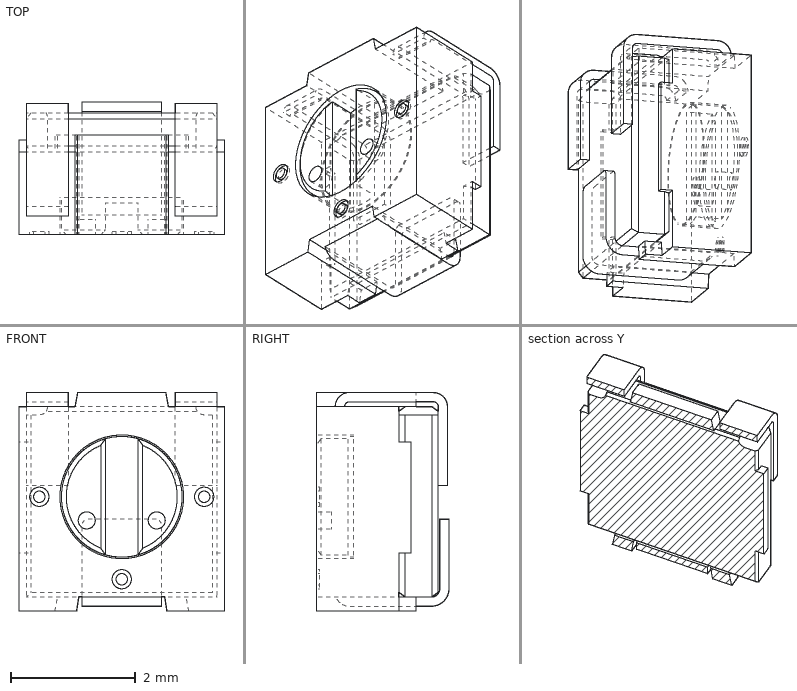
import cadquery as cq
import math


width = 3.3
height = 3.51
housing_depth = 1.325
step_depth = 1.52
step_bottom = 0.937
step_top = 2.715
key_depth = 1.6
key_height = 0.228
shoulder_height = height - key_height
key_base_half_width = 0.75
key_end_half_width = 0.71
notch_base_half_width = 0.723
notch_end_half_width = 0.688
foot_width = 0.35
foot_taper = key_base_half_width - key_end_half_width

plate_back = 1.955
plate_half_width = 1.53
plate_chamfer_depth = 0.1
plate_chamfer_inset = 0.075
ledge_drop = 0.13
ledge_width = 0.21

strip_thickness = 0.15
bend_radius = 0.228
strip_front = 0.302
upper_strip_width = 0.675
upper_strip_center = 1.195
upper_strip_back = plate_back + strip_thickness
upper_leg_end = 2.015
lower_strip_width = 1.278
lower_strip_back = 2.13
lower_bend_radius = 0.285
lower_leg_end = 1.478
lower_corner_radius = 0.105

rotor_z = 1.835
bore_radius = 0.995
rotor_gap = 0.025
rotor_radius = bore_radius - rotor_gap
rotor_depth = 0.595
slot_depth = 0.51
rotor_chamfer = 0.077
slot_half_width = 0.26
pin_hole_radius = 0.137
pin_hole_depth = 0.245
pin_hole_x = 0.56
pin_hole_drop = 0.38

mark_outer_radius = 0.155
mark_inner_radius = 0.09
mark_depth = 0.05
mark_distance = 1.325


def box(x_min, x_max, y_min, y_max, z_min, z_max):
    size = (x_max - x_min, y_max - y_min, z_max - z_min)
    return cq.Workplane("XY").box(*size, centered=False).translate((x_min, y_min, z_min))


def prism(points, y_start, y_end):
    """Extrude an XZ outline from y_start to y_end."""
    return cq.Workplane("XZ", origin=(0, y_start, 0)).polyline(points).close().extrude(y_start - y_end)


def disc(x, z, radius, depth):
    """Cylinder running from the front face into the part."""
    return cq.Workplane("XZ").center(x, z).circle(radius).extrude(-depth)


def trapezoid(base_half_width, end_half_width, z_base, z_end):
    return [
        (-base_half_width, z_base),
        (base_half_width, z_base),
        (end_half_width, z_end),
        (-end_half_width, z_end),
    ]


def make_housing():
    half_width = width / 2
    body = box(-half_width, half_width, 0, housing_depth, 0, shoulder_height)
    body = body.union(box(-half_width, half_width, 0, step_depth, step_bottom, step_top))
    key = trapezoid(key_base_half_width, key_end_half_width, shoulder_height, height)
    body = body.union(prism(key, 0, key_depth))
    foot_half_width = notch_base_half_width + foot_width
    feet = trapezoid(foot_half_width, foot_half_width - foot_taper, 0, key_height)
    body = body.union(prism(feet, 0, key_depth))
    notch = trapezoid(notch_base_half_width, notch_end_half_width, 0, key_height)
    return body.cut(prism(notch, 0, key_depth))


def make_ledge_cutter(x_outer, x_fillet, inward):
    """Removes an upper corner of the plate: a flat ledge that sweeps up through a concave quarter arc."""
    z_ledge = shoulder_height - ledge_drop
    diagonal = ledge_drop * math.sqrt(0.5)
    return (
        cq.Workplane("XZ", origin=(0, housing_depth, 0))
        .moveTo(x_outer, shoulder_height)
        .lineTo(x_outer, z_ledge)
        .lineTo(x_fillet, z_ledge)
        .threePointArc(
            (x_fillet + inward * diagonal, shoulder_height - diagonal),
            (x_fillet + inward * ledge_drop, shoulder_height),
        )
        .close()
        .extrude(housing_depth - plate_back)
    )


def make_half_plate(y_face):
    """Half of the plate thickness, with sloped borders all round the face at y_face."""
    y_middle = (housing_depth + plate_back) / 2
    center = (shoulder_height + key_height) / 2
    outline = (2 * plate_half_width, shoulder_height - key_height)
    outward = math.copysign(1, y_middle - y_face)
    straight_depth = (plate_back - housing_depth) / 2 - plate_chamfer_depth
    slope = math.degrees(math.atan2(plate_chamfer_inset, plate_chamfer_depth))
    straight = cq.Workplane("XZ", origin=(0, y_middle, center)).rect(*outline)
    straight = straight.extrude(outward * straight_depth)
    y_border = y_middle - outward * straight_depth
    border = cq.Workplane("XZ", origin=(0, y_border, center)).rect(*outline)
    border = border.extrude(outward * plate_chamfer_depth, taper=slope)
    return straight.union(border)


def make_plate():
    plate = make_half_plate(housing_depth).union(make_half_plate(plate_back))
    fillet_start = plate_half_width - ledge_width
    for side in (-1, 1):
        plate = plate.cut(make_ledge_cutter(side * plate_half_width, side * fillet_start, -side))
    return plate


def make_terminal(strip_width, y_back, radius, leg_length):
    """Strip with its outer run at z = 0, bent up in a quarter turn at the front and into a leg at the back."""
    front_end = strip_front + bend_radius
    corner = math.sqrt(0.5)
    front_inner = bend_radius - strip_thickness
    back_inner = radius - strip_thickness
    y_bend = y_back - radius
    profile = (
        cq.Workplane("YZ", origin=(-strip_width / 2, 0, 0))
        .moveTo(strip_front, bend_radius)
        .threePointArc((front_end - bend_radius * corner, bend_radius * (1 - corner)), (front_end, 0))
        .lineTo(y_bend, 0)
        .threePointArc((y_bend + radius * corner, radius * (1 - corner)), (y_back, radius))
        .lineTo(y_back, leg_length)
        .lineTo(y_back - strip_thickness, leg_length)
        .lineTo(y_back - strip_thickness, radius)
        .threePointArc(
            (y_bend + back_inner * corner, radius - back_inner * corner), (y_bend, strip_thickness)
        )
        .lineTo(front_end, strip_thickness)
        .threePointArc(
            (front_end - front_inner * corner, bend_radius - front_inner * corner),
            (strip_front + strip_thickness, bend_radius),
        )
        .close()
    )
    return profile.extrude(strip_width)


def make_upper_terminals():
    strip = make_terminal(upper_strip_width, upper_strip_back, bend_radius, height - upper_leg_end)
    strip = strip.mirror("XY").translate((0, 0, height))
    right = strip.translate((upper_strip_center, 0, 0))
    return right.union(strip.translate((-upper_strip_center, 0, 0)))


def make_lower_terminal():
    z_bottom = key_height - strip_thickness
    strip = make_terminal(lower_strip_width, lower_strip_back, lower_bend_radius, lower_leg_end - z_bottom)
    strip = strip.faces(">Z").edges("|Y").fillet(lower_corner_radius)
    return strip.translate((0, 0, z_bottom))


def make_rotor():
    rotor = disc(0, rotor_z, rotor_radius, rotor_depth).faces("<Y").chamfer(rotor_chamfer)
    slot_mouth = slot_half_width + rotor_chamfer
    slot = (
        cq.Workplane("XY", origin=(0, 0, rotor_z))
        .moveTo(-slot_mouth, 0)
        .lineTo(slot_mouth, 0)
        .lineTo(slot_half_width, rotor_chamfer)
        .lineTo(slot_half_width, slot_depth)
        .lineTo(-slot_half_width, slot_depth)
        .lineTo(-slot_half_width, rotor_chamfer)
        .close()
        .extrude(bore_radius, both=True)
    )
    rotor = rotor.cut(slot)
    for x in (-pin_hole_x, pin_hole_x):
        rotor = rotor.cut(disc(x, rotor_z - pin_hole_drop, pin_hole_radius, pin_hole_depth))
    return rotor


def make_mark(x, z):
    return disc(x, z, mark_outer_radius, mark_depth).cut(disc(x, z, mark_inner_radius, mark_depth))


housing = make_housing().cut(disc(0, rotor_z, bore_radius, rotor_depth))
marks = [
    (-mark_distance, rotor_z),
    (mark_distance, rotor_z),
    (0, rotor_z - mark_distance),
]
for mark_x, mark_z in marks:
    housing = housing.cut(make_mark(mark_x, mark_z))

result = (
    housing.union(make_rotor())
    .union(make_plate())
    .union(make_upper_terminals())
    .union(make_lower_terminal())
)